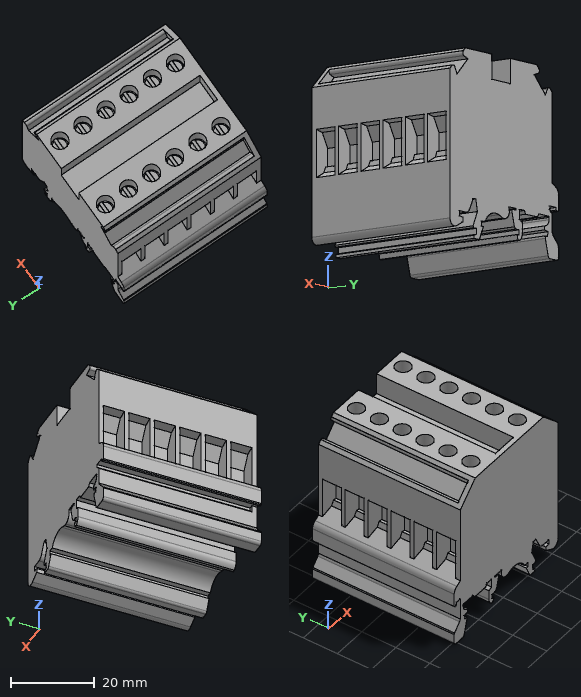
import cadquery as cq

length = 42.5
height = 46.4
end_plate = 1.4
module_count = 6
row_width = 41.7
pitch = (row_width - end_plate) / module_count

wall_left = 2.5
mid_x = (wall_left + length) / 2
chamfer_x = 6.1
chamfer_z = 5.85
base_z = 10.25

ledge_z = 18.5
ledge_round_x = 1.05
ledge_slope = 0.55
ledge_round_z = ledge_z - ledge_slope * (wall_left - ledge_round_x)
ledge_side_z = 15.95
ledge_under_z = 12.8
lip_width = 1.0
lip_tip_z = 11.92
lip_edge = 0.25

slot_width = 7.35
slot_depth = 6.15

screw_offset = 9.5
screw_y = 3.05
screw_hole_diameter = 4.3
screw_hole_depth = 5.55
screw_head_top_diameter = 3.55
screw_head_taper = 0.35
driver_slot_width = 0.9
driver_slot_depth = 0.7

pocket_width = 5.55
pocket_top_z = 30.25
pocket_bend_x = 2.3
pocket_bend_z = 29.85
pocket_floor_x = 2.95
pocket_step_x = 3.6
pocket_back_x = 4.45
pocket_step_z = 21.6
pocket_back_top_z = 26.25
pocket_side_taper = 0.19

notch_bottom_z = 10.95
notch_depth = 1.0


def add_left_foot(outline):
    """Foot below the left wall, from its bottom corner to the underside of the housing."""
    return (
        outline.lineTo(0, 0.8)
        .threePointArc((0.25, 0.25), (0.8, 0))
        .lineTo(3.53, 0)
        .threePointArc((3.95, 0.2), (4.18, 0.6))
        .lineTo(5.3, 4.7)
        .lineTo(5.3, 5.3)
        .lineTo(4.45, 5.3)
        .lineTo(4.18, 6.45)
        .lineTo(5.6, 6.7)
        .lineTo(5.6, 7.65)
        .threePointArc((4.18, 8.45), (3.75, 9.4))
        .lineTo(3.75, 9.98)
        .lineTo(4.0, base_z)
    )


def add_base_pad(outline):
    """Shallow pad between the left foot and the hook."""
    pad_z = 9.4
    return outline.lineTo(7.8, base_z).lineTo(8.3, pad_z).lineTo(12.95, pad_z).lineTo(13.45, base_z)


def add_hook(outline):
    """Slim hook that hangs from the underside."""
    return (
        outline.lineTo(15.25, base_z)
        .lineTo(15.25, 7.8)
        .lineTo(14.25, 7.35)
        .lineTo(14.25, 4.6)
        .threePointArc((14.55, 3.45), (15.25, 2.7))
        .lineTo(15.95, 2.7)
        .lineTo(16.3, 4.0)
        .lineTo(15.5, 4.0)
        .lineTo(15.5, 5.25)
        .lineTo(16.75, 5.25)
        .lineTo(17.35, 5.7)
        .lineTo(18.25, 9.0)
        .lineTo(18.25, 9.65)
        .lineTo(18.0, 9.9)
        .lineTo(16.7, 9.9)
        .lineTo(16.7, base_z)
    )


def add_arch(outline):
    """Rounded bump and the arch that follows it."""
    return (
        outline.lineTo(19.45, base_z)
        .lineTo(19.25, 9.3)
        .threePointArc((19.85, 7.8), (21.1, 7.1))
        .lineTo(21.9, 7.15)
        .lineTo(23.45, 7.75)
        .threePointArc((26.3, 7.6), (28.75, 5.25))
    )


def add_claw(outline):
    """Claw with a tooth on each side, up to the narrow gap beside it."""
    return (
        outline.lineTo(30.15, 5.25)
        .lineTo(30.15, 4.0)
        .lineTo(29.45, 4.0)
        .lineTo(30.75, 1.1)
        .threePointArc((31.0, 0.75), (31.35, 0.6))
        .lineTo(33.1, 0.6)
        .lineTo(33.1, 1.35)
        .lineTo(32.2, 1.7)
        .lineTo(32.2, 3.15)
        .lineTo(33.25, 3.15)
        .lineTo(33.5, 3.55)
        .lineTo(31.8, 7.3)
        .lineTo(32.45, base_z)
    )


def add_right_foot(outline):
    """Foot below the right wall, with a rounded corner."""
    return (
        outline.lineTo(33.4, base_z)
        .lineTo(34.8, 7.5)
        .threePointArc((35.35, 6.8), (36.2, 6.5))
        .lineTo(38.7, 6.5)
        .lineTo(38.7, 5.25)
        .lineTo(37.5, 5.1)
        .lineTo(37.5, 3.95)
        .lineTo(39.9, 2.7)
        .threePointArc((42.0, 2.95), (length, 4.18))
    )


def make_body():
    """Housing with its ledge and feet, the same section along the whole row."""
    outline = cq.Workplane("XZ").moveTo(0, 3.4)
    for add_part in (add_left_foot, add_base_pad, add_hook, add_arch, add_claw, add_right_foot):
        outline = add_part(outline)
    outline = (
        outline.lineTo(length, height - chamfer_z)
        .lineTo(length - chamfer_x, height)
        .lineTo(wall_left + chamfer_x, height)
        .lineTo(wall_left, height - chamfer_z)
        .lineTo(wall_left, ledge_z)
        .lineTo(ledge_round_x, ledge_round_z)
        .threePointArc((0.32, 17.05), (0, ledge_side_z))
        .lineTo(0, lip_tip_z + lip_edge)
        .lineTo(lip_edge, lip_tip_z)
        .lineTo(lip_width - lip_edge, lip_tip_z)
        .lineTo(lip_width, lip_tip_z + lip_edge)
        .lineTo(lip_width, ledge_under_z)
        .lineTo(wall_left, ledge_under_z)
        .lineTo(wall_left, 6.55)
        .lineTo(wall_left - 0.32, 5.9)
        .lineTo(0.15, 3.75)
        .close()
    )
    return outline.extrude(-row_width)


def mirrored_pair(cutter):
    """A cutter on the left together with its mirror image on the right."""
    return cutter.union(cutter.mirror("YZ", (mid_x, 0, 0)))


def row_prism(outline):
    """A section carried from the inner face of the end plate to the open end of the row."""
    return outline.extrude(end_plate - row_width).translate((0, end_plate, 0))


def make_top_slot():
    """Straight slot between the two rows of screws."""
    outline = cq.Workplane("XZ").center(mid_x, height - slot_depth / 2).rect(slot_width, slot_depth)
    return row_prism(outline)


def make_label_grooves():
    """Undercut grooves in both chamfers, with rounded lips; the last point lies outside the housing."""
    outline = (
        cq.Workplane("XZ")
        .moveTo(3.45, 41.45)
        .threePointArc((4.0, 41.5), (4.45, 41.05))
        .lineTo(5.25, 39.55)
        .lineTo(9.45, 43.8)
        .lineTo(7.9, 44.35)
        .threePointArc((7.5, 44.9), (7.75, 45.55))
        .lineTo(4.65, 44.55)
        .close()
    )
    return mirrored_pair(row_prism(outline))


def make_notch():
    """Sloped notch in the left wall, behind the ledge lip."""
    outline = cq.Workplane("XZ").polyline([
        (wall_left, notch_bottom_z),
        (wall_left + notch_depth, notch_bottom_z + notch_depth),
        (wall_left + notch_depth, ledge_under_z),
        (wall_left, ledge_under_z),
    ])
    return row_prism(outline.close())


def make_wire_pockets():
    """One pair of pockets; the far side of each one leans inward with depth."""
    section = (
        cq.Workplane("XZ", origin=(wall_left, 0, 0))
        .polyline([
            (0, ledge_z),
            (pocket_floor_x, ledge_z + ledge_slope * pocket_floor_x),
            (pocket_step_x, pocket_step_z),
            (pocket_back_x, pocket_step_z),
            (pocket_back_x, pocket_back_top_z),
            (pocket_bend_x, pocket_bend_z),
            (0, pocket_top_z),
        ])
        .close()
        .extrude(-pocket_width)
    )
    plan = (
        cq.Workplane("XY", origin=(wall_left, 0, 0))
        .polyline([
            (0, 0),
            (pocket_back_x, 0),
            (pocket_back_x, pocket_width - pocket_side_taper * pocket_back_x),
            (0, pocket_width),
        ])
        .close()
        .extrude(height)
    )
    return mirrored_pair(section.intersect(plan))


def make_screw_holes():
    """One pair of screw holes, each leaving a tapered head with a driver slot at the bottom."""
    hole_radius = screw_hole_diameter / 2
    head_top_radius = screw_head_top_diameter / 2
    hole = cq.Workplane("XY").circle(hole_radius).extrude(-screw_hole_depth)
    head = cq.Workplane("XY").add(
        cq.Solid.makeCone(hole_radius, head_top_radius, screw_head_taper)
    ).translate((0, 0, -screw_hole_depth))
    driver_slot = hole.intersect(
        cq.Workplane("XY", origin=(0, 0, -screw_hole_depth))
        .rect(screw_hole_diameter, driver_slot_width)
        .extrude(driver_slot_depth)
    )
    cutter = hole.cut(head).union(driver_slot)
    return mirrored_pair(cutter.translate((mid_x - screw_offset, screw_y, height)))


result = make_body().cut(make_top_slot()).cut(make_label_grooves()).cut(make_notch())

module_cutters = make_wire_pockets().union(make_screw_holes())
for module in range(module_count):
    result = result.cut(module_cutters.translate((0, end_plate + module * pitch, 0)))